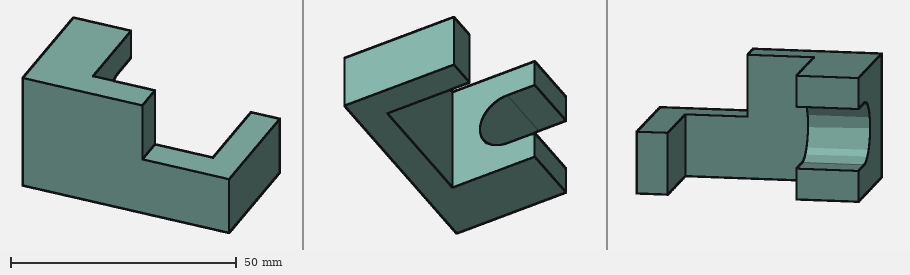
import cadquery as cq

length = 50.0
depth = 28.0
height = 28.0

tall_length = 29.0
low_height = height / 2

left_arm_thickness = 14.0
right_arm_thickness = 7.0
front_wall_thickness = 7.0

slot_width = 14.0
slot_depth = 14.0
slot_center_z = height / 2


def box_between(x_range, y_range, z_range):
    """Box spanning the given (start, end) pairs along X, Y and Z."""
    x0, x1 = x_range
    y0, y1 = y_range
    z0, z1 = z_range
    return cq.Workplane("XY").box(x1 - x0, y1 - y0, z1 - z0, centered=False).translate((x0, y0, z0))


def stepped_block():
    """Full-height left end joined to the low right end."""
    tall_end = box_between((0, tall_length), (0, depth), (0, height))
    low_end = box_between((0, length), (0, depth), (0, low_height))
    return tall_end.union(low_end)


def bay():
    """Vertical through-cut that leaves the front wall and two arms."""
    return box_between(
        (left_arm_thickness, length - right_arm_thickness),
        (front_wall_thickness, depth),
        (0, height),
    )


def arm_slot():
    """Slot along X whose inner end is a half round."""
    radius = slot_width / 2
    slot_bottom_y = depth - slot_depth
    round_center_y = slot_bottom_y + radius
    return (
        cq.Workplane("YZ")
        .moveTo(depth, slot_center_z - radius)
        .lineTo(round_center_y, slot_center_z - radius)
        .threePointArc((slot_bottom_y, slot_center_z), (round_center_y, slot_center_z + radius))
        .lineTo(depth, slot_center_z + radius)
        .close()
        .extrude(left_arm_thickness)
    )


result = stepped_block().cut(bay()).cut(arm_slot())